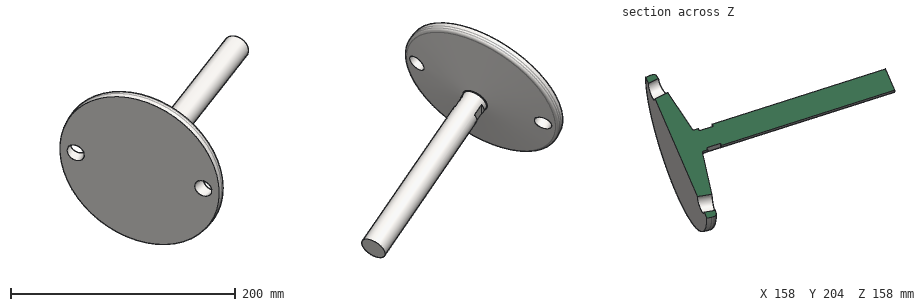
import cadquery as cq
import math

total_length = 204.0
foot_diameter = 158.0
stem_diameter = 24.0

face_diameter = 157.0
pad_height = 4.5
rim_height = 7.0
rim_round = 3.0
cone_top_height = 20.6
collar_height = 0.6
cone_top_diameter = 25.3
cone_angle = 9.6

flat_start = 26.0
flat_length = 12.6
across_flats = 19.4

hole_diameter = 16.5
hole_radius_at_face = 62.8
drill_length = 81.5

foot_face_y = -total_length / 2
foot_radius = foot_diameter / 2


def make_foot():
    """Tapered pad, straight rim, rounded shoulder, shallow cone and small collar."""
    tilt = math.radians(cone_angle)
    arc_center_x = foot_radius - rim_round
    shoulder_x = arc_center_x + rim_round * math.sin(tilt)
    shoulder_y = rim_height + rim_round * math.cos(tilt)
    mid_angle = (math.pi / 2 - tilt) / 2
    arc_middle = (
        arc_center_x + rim_round * math.cos(mid_angle),
        rim_height + rim_round * math.sin(mid_angle),
    )
    profile = (
        cq.Workplane("XY", origin=(0, foot_face_y, 0))
        .lineTo(face_diameter / 2, 0)
        .lineTo(foot_radius, pad_height)
        .lineTo(foot_radius, rim_height)
        .threePointArc(arc_middle, (shoulder_x, shoulder_y))
        .lineTo(cone_top_diameter / 2, cone_top_height)
        .lineTo(stem_diameter / 2, cone_top_height + collar_height)
        .lineTo(0, cone_top_height + collar_height)
        .close()
    )
    return profile.revolve(360, (0, 0, 0), (0, 1, 0))


def make_stem():
    """Round stem with two opposite wrench flats."""
    stem = cq.Workplane("XZ", origin=(0, total_length / 2, 0))
    stem = stem.circle(stem_diameter / 2).extrude(total_length)
    flat_center_y = foot_face_y + flat_start + flat_length / 2
    for side in (-1, 1):
        cutter = cq.Workplane("XY").box(stem_diameter, flat_length, stem_diameter)
        cutter_x = side * (across_flats + stem_diameter) / 2
        stem = stem.cut(cutter.translate((cutter_x, flat_center_y, 0)))
    return stem


def make_hole(side):
    """Drill body that leans outward on its way up from the foot face."""
    tilt = math.radians(cone_angle)
    axis = cq.Vector(side * math.sin(tilt), math.cos(tilt), 0)
    face_center = cq.Vector(side * hole_radius_at_face, foot_face_y, 0)
    start = face_center - axis * (drill_length / 2)
    return cq.Workplane(cq.Solid.makeCylinder(hole_diameter / 2, drill_length, start, axis))


result = make_foot().union(make_stem())
for side in (-1, 1):
    result = result.cut(make_hole(side))